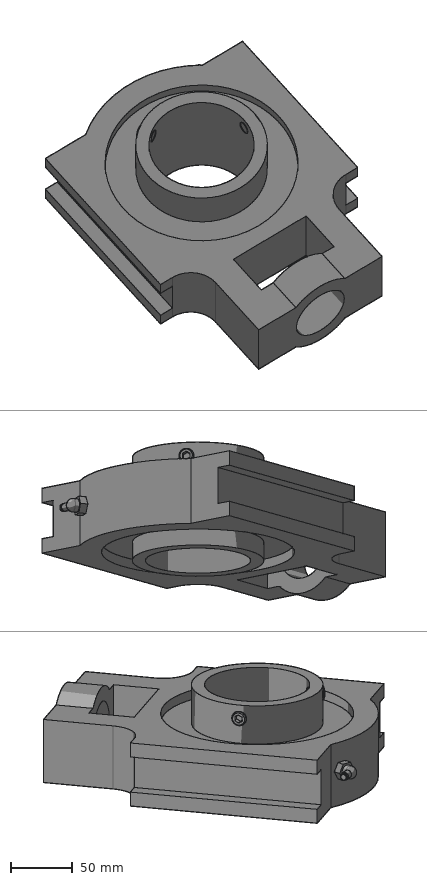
import cadquery as cq
import math


housing_thickness = 54.0
body_length = 157.0
body_width = 198.0
nose_radius = 98.0
tail_end = 162.0
tail_width = 124.0
tail_corner_radius = 25.0
rail_thickness = 12.0
groove_depth = 12.0

window_start = 93.0
window_width = 73.0
boss_length = 31.0
boss_diameter = window_width
screw_hole_diameter = 48.0
boss_start = tail_end - boss_length

outer_ring_diameter = 156.0
outer_ring_width = 38.0
inner_ring_diameter = 106.4
shaft_diameter = 85.0
inner_ring_top = 51.6
inner_ring_bottom = -34.1

set_screw_diameter = 12.0
set_screw_tip_diameter = 10.16
set_screw_socket_size = 6.0
set_screw_socket_depth = 5.0
set_screw_height = 40.3
set_screw_protrusion = 2.0
set_screw_tip_recess = 0.5
set_screw_angles = (90.0, 210.0)

nipple_angle = 150.0
nipple_stem_angle = 83.0
nipple_height = 3.0
nipple_hex_size = 14.0
nipple_hex_height = 6.0
nipple_embedding = 3.0
nipple_ball_diameter = 11.0
nipple_ball_distance = 107.5
nipple_stem_diameter = 6.6
nipple_tip_diameter = 5.7
nipple_tip_chamfer = 0.5
nipple_stem_length = 10.6
nipple_tip_length = 2.6


def radial_plane(angle, radius, height):
    """Plane facing away from the bearing axis, with its local X horizontal and local Y along Z."""
    turn = math.radians(angle)
    outward = (math.cos(turn), math.sin(turn), 0)
    sideways = (-math.sin(turn), math.cos(turn), 0)
    return cq.Plane(origin=(radius * outward[0], radius * outward[1], height), xDir=sideways, normal=outward)


def slab(x_min, x_max, width, height):
    """Box between two X positions, centred on Y and Z."""
    return cq.Workplane("XY").box(x_max - x_min, width, height).translate(((x_min + x_max) / 2, 0, 0))


def disc(diameter, z_min, z_max):
    """Cylinder on the bearing axis."""
    return cq.Workplane("XY").workplane(offset=z_min).circle(diameter / 2).extrude(z_max - z_min)


def make_blank():
    """Housing plate: rounded nose, wide body, concave corners and narrow tail."""
    front = body_length / 2
    half_body = body_width / 2
    half_tail = tail_width / 2
    nose_y = math.sqrt(nose_radius**2 - front**2)
    corner_x = front + tail_corner_radius
    corner_y = half_tail + tail_corner_radius
    mid_x = corner_x - tail_corner_radius * math.cos(math.pi / 4)
    mid_y = corner_y - tail_corner_radius * math.sin(math.pi / 4)
    return (
        cq.Workplane("XY")
        .workplane(offset=-housing_thickness / 2)
        .moveTo(-front, -half_body)
        .lineTo(front, -half_body)
        .lineTo(front, -corner_y)
        .threePointArc((mid_x, -mid_y), (corner_x, -half_tail))
        .lineTo(tail_end, -half_tail)
        .lineTo(tail_end, half_tail)
        .lineTo(corner_x, half_tail)
        .threePointArc((mid_x, mid_y), (front, corner_y))
        .lineTo(front, half_body)
        .lineTo(-front, half_body)
        .lineTo(-front, nose_y)
        .threePointArc((-nose_radius, 0), (-front, -nose_y))
        .close()
        .extrude(housing_thickness)
    )


def make_side_groove(side):
    """Guide-rail groove along one side of the body; side is +1 or -1 in Y."""
    groove_height = housing_thickness - 2 * rail_thickness
    groove = cq.Workplane("XY").box(body_length, groove_depth, groove_height)
    return groove.translate((0, side * (body_width - groove_depth) / 2, 0))


def tail_cylinder(diameter):
    """Cylinder along the take-up screw axis, as long as the boss."""
    return cq.Workplane("YZ").workplane(offset=boss_start).circle(diameter / 2).extrude(boss_length)


def make_elbow():
    """Round neck of the nipple, closed by half a ball of the same diameter."""
    radius = nipple_ball_diameter / 2
    neck_start = nose_radius - nipple_embedding
    diagonal = radius * math.sin(math.pi / 4)
    elbow = (
        cq.Workplane("XY")
        .moveTo(neck_start, 0)
        .lineTo(neck_start, radius)
        .lineTo(nipple_ball_distance, radius)
        .threePointArc((nipple_ball_distance + diagonal, diagonal), (nipple_ball_distance + radius, 0))
        .close()
        .revolve(360, (0, 0, 0), (1, 0, 0))
    )
    return elbow.rotate((0, 0, 0), (0, 0, 1), nipple_angle).translate((0, 0, nipple_height))


def make_nipple():
    """Elbow grease nipple: hexagon and neck pointing outwards, ball, and a stem turned roughly towards +Y."""
    base_radius = nose_radius - nipple_embedding
    hex_end = nose_radius + nipple_hex_height
    base = radial_plane(nipple_angle, base_radius, nipple_height)
    hex_corner_diameter = nipple_hex_size / math.cos(math.pi / 6)
    hexagon = cq.Workplane(base).polygon(6, hex_corner_diameter).extrude(hex_end - base_radius)
    elbow = make_elbow()
    ball_centre = radial_plane(nipple_angle, nipple_ball_distance, nipple_height).origin
    stem_turn = math.radians(nipple_stem_angle)
    stem_direction = (math.cos(stem_turn), math.sin(stem_turn), 0)
    stem_plane = cq.Plane(origin=ball_centre, xDir=(0, 0, 1), normal=stem_direction)
    stem = cq.Workplane(stem_plane).circle(nipple_stem_diameter / 2).extrude(nipple_stem_length)
    tip = (
        cq.Workplane(stem_plane)
        .workplane(offset=nipple_stem_length)
        .circle(nipple_tip_diameter / 2)
        .extrude(nipple_tip_length)
        .faces(cq.selectors.DirectionMinMaxSelector(stem_plane.zDir))
        .chamfer(nipple_tip_chamfer)
    )
    return hexagon.union(elbow).union(stem).union(tip)


def make_housing():
    """Housing with its boss, grooves, window, bearing seat and grease nipple."""
    housing = make_blank().union(tail_cylinder(boss_diameter))
    for side in (-1, 1):
        housing = housing.cut(make_side_groove(side))
    housing = housing.cut(slab(window_start, boss_start, window_width, housing_thickness))
    housing = housing.cut(tail_cylinder(screw_hole_diameter))
    housing = housing.union(make_nipple())
    return housing.cut(disc(outer_ring_diameter, -housing_thickness / 2, housing_thickness / 2))


def make_set_screw(angle):
    """Socket set screw, chamfered at its outer end."""
    chamfer = (set_screw_diameter - set_screw_tip_diameter) / 2
    start = (shaft_diameter + inner_ring_diameter) / 4
    end = inner_ring_diameter / 2 + set_screw_protrusion
    socket_corner_diameter = set_screw_socket_size / math.cos(math.pi / 6)
    screw = (
        cq.Workplane(radial_plane(angle, start, set_screw_height))
        .circle(set_screw_diameter / 2)
        .extrude(end - start)
        .faces(cq.selectors.DirectionMinMaxSelector(radial_plane(angle, end, set_screw_height).zDir))
        .chamfer(chamfer)
    )
    socket = (
        cq.Workplane(radial_plane(angle, end - set_screw_socket_depth, set_screw_height))
        .transformed(rotate=(0, 0, 90))
        .polygon(6, socket_corner_diameter)
        .extrude(set_screw_socket_depth)
    )
    return screw, socket


def make_insert():
    """Bearing insert: outer ring, longer inner ring, shaft bore and set screws."""
    insert = disc(outer_ring_diameter, -outer_ring_width / 2, outer_ring_width / 2)
    insert = insert.union(disc(inner_ring_diameter, inner_ring_bottom, inner_ring_top))
    insert = insert.cut(disc(shaft_diameter, inner_ring_bottom, inner_ring_top))
    for angle in set_screw_angles:
        screw, socket = make_set_screw(angle)
        tip_hole = (
            cq.Workplane(radial_plane(angle, 0, set_screw_height))
            .circle(set_screw_tip_diameter / 2)
            .extrude(shaft_diameter / 2 + set_screw_tip_recess)
        )
        insert = insert.union(screw).cut(socket).cut(tip_hole)
    return insert


housing = make_housing()
insert = make_insert()

result = cq.Compound.makeCompound([housing.val(), insert.val()])